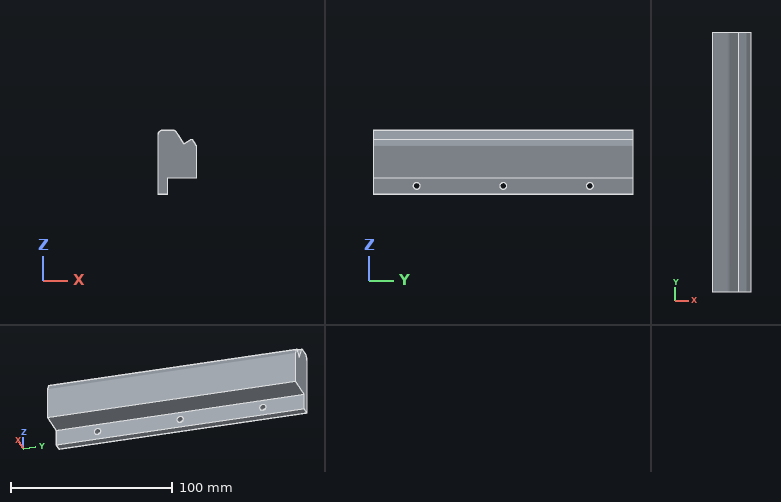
import cadquery as cq
import math

length = 161.2
width = 24.0
height = 40.0

leg_thickness = 6.0
leg_height = 10.2

groove_x = 16.1
groove_z = 31.5
steep_angle = math.radians(58)
lip_flank_length = 6.0

crest_radius = 3.0
lip_radius = 1.0

hole_diameter = 4.0
hole_height = 5.3
hole_count = 3
hole_spacing = length / hole_count

slope = math.tan(steep_angle)
crest_x = groove_x - (height - groove_z) / slope
lip_x = groove_x + lip_flank_length * math.sin(steep_angle)
lip_z = groove_z + lip_flank_length * math.cos(steep_angle)
shoulder_z = lip_z - (width - lip_x) * slope


def sharp_rail():
    """Cross-section in the XZ plane, extruded along Y about the middle."""
    outline = [
        (0, 0),
        (leg_thickness, 0),
        (leg_thickness, leg_height),
        (width, leg_height),
        (width, shoulder_z),
        (lip_x, lip_z),
        (groove_x, groove_z),
        (crest_x, height),
        (0, height),
    ]
    return cq.Workplane("XZ").polyline(outline).close().extrude(length / 2, both=True)


def round_edges(body, corners, radius):
    """Fillet the long edges that pass through the given XZ corners."""
    for x, z in corners:
        body = body.edges(cq.NearestToPointSelector((x, 0, z))).fillet(radius)
    return body


def mounting_holes():
    """Row of cylinders, spaced along Y, that pierce the leg."""
    row_start = -hole_spacing * (hole_count - 1) / 2
    centers = [(row_start + i * hole_spacing, hole_height) for i in range(hole_count)]
    return cq.Workplane("YZ").pushPoints(centers).circle(hole_diameter / 2).extrude(leg_thickness)


rail = sharp_rail()
rail = round_edges(rail, [(0, height), (crest_x, height)], crest_radius)
rail = round_edges(rail, [(lip_x, lip_z), (width, shoulder_z)], lip_radius)

result = rail.cut(mounting_holes())